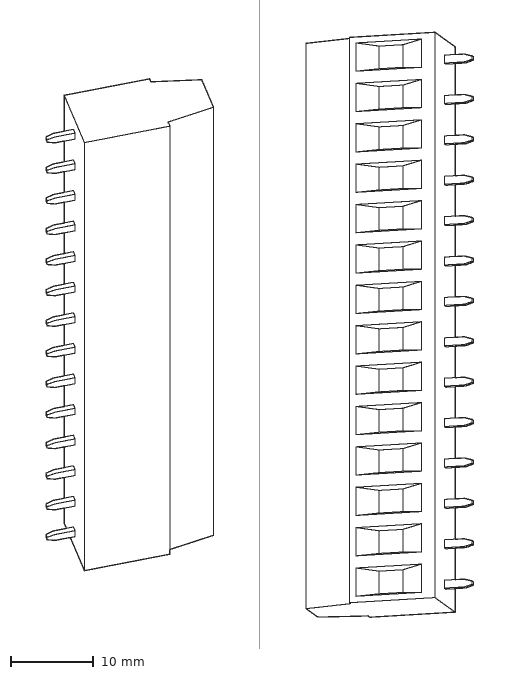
import cadquery as cq

pole_count = 14
height = 70.0
pitch = height / pole_count
width = 8.9
body_depth = 16.8
base_depth = 10.8

left_step = 0.55
right_step = 0.8
left_rear_inset = 1.9
right_rear_inset = 1.8

entry_length = 8.25
entry_height = 3.5
entry_floor_length = 3.0
entry_floor_height = 2.8
entry_depth = 1.0
entry_center_y = 5.8

pin_width = 0.7
pin_height = 1.0
pin_length = 3.5
pin_tip_length = 1.0
pin_tip_width = 0.55
pin_tip_height = 0.4

half_width = width / 2


def make_housing():
    """Stepped and tapered profile, with the pin face at Y = 0."""
    profile = [
        (-half_width, 0),
        (half_width, 0),
        (half_width, base_depth),
        (half_width - right_step, base_depth),
        (half_width - right_rear_inset, body_depth),
        (-half_width + left_rear_inset, body_depth),
        (-half_width + left_step, base_depth),
        (-half_width, base_depth),
    ]
    return cq.Workplane("XY").polyline(profile).close().extrude(height)


def make_wire_entry(z):
    """Funnel narrowing from a wide mouth to a small flat floor."""
    mouth_center = (-half_width, entry_center_y, z)
    return (
        cq.Workplane("YZ", origin=mouth_center)
        .rect(entry_length, entry_height)
        .workplane(offset=entry_depth)
        .rect(entry_floor_length, entry_floor_height)
        .loft(ruled=True)
    )


def make_pin(z):
    """Rectangular pin ending in a blunt pyramid."""
    shank_length = pin_length - pin_tip_length
    return (
        cq.Workplane("XZ", origin=(0, 0, z))
        .rect(pin_width, pin_height)
        .extrude(shank_length)
        .faces("<Y")
        .workplane()
        .rect(pin_width, pin_height)
        .workplane(offset=pin_tip_length)
        .rect(pin_tip_width, pin_tip_height)
        .loft(ruled=True, combine=True)
    )


result = make_housing()
for pole in range(pole_count):
    pole_z = (pole + 0.5) * pitch
    result = result.cut(make_wire_entry(pole_z)).union(make_pin(pole_z))